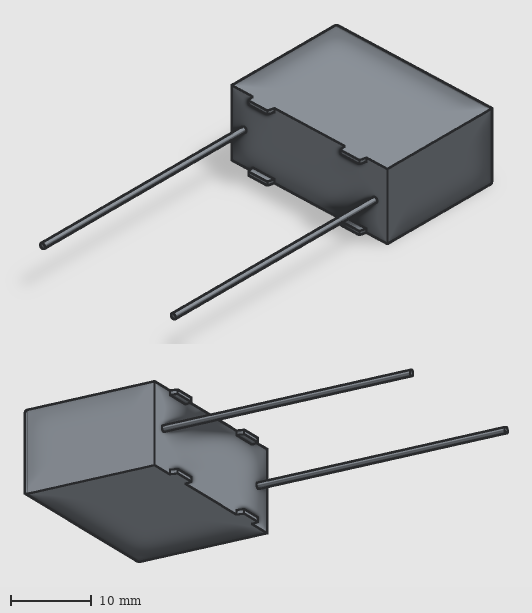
import cadquery as cq

total_length = 55.1
housing_width = 26.8
housing_height = 11.2
housing_depth = 19.2
back_edge_radius = 0.75

tab_root_width = 3.75
tab_tip_width = 3.25
tab_length = 1.0
tab_thickness = 0.6
tab_spacing = 15.8

lead_diameter = 0.8
lead_spacing = 22.5
lead_length = total_length - housing_depth


def make_tab(center_x, bottom_z):
    """Tapered standoff tab that projects from the lead face (Y = 0) toward -Y."""
    half_root = tab_root_width / 2
    half_tip = tab_tip_width / 2
    outline = [
        (center_x - half_root, 0),
        (center_x + half_root, 0),
        (center_x + half_tip, -tab_length),
        (center_x - half_tip, -tab_length),
    ]
    return cq.Workplane("XY").workplane(offset=bottom_z).polyline(outline).close().extrude(tab_thickness)


def make_housing():
    """Box with rounded back edges and four tabs flush with its top and bottom."""
    body = (
        cq.Workplane("XY")
        .box(housing_width, housing_depth, housing_height, centered=(True, False, True))
        .faces(">Y")
        .edges()
        .fillet(back_edge_radius)
    )
    lower_tab_z = -housing_height / 2
    upper_tab_z = housing_height / 2 - tab_thickness
    for center_x in (-tab_spacing / 2, tab_spacing / 2):
        for bottom_z in (lower_tab_z, upper_tab_z):
            body = body.union(make_tab(center_x, bottom_z))
    return body


def make_lead(center_x):
    """Straight round wire that starts on the lead face and runs toward -Y."""
    return cq.Workplane("XZ").center(center_x, 0).circle(lead_diameter / 2).extrude(lead_length)


housing = make_housing()
leads = [make_lead(center_x) for center_x in (-lead_spacing / 2, lead_spacing / 2)]

result = cq.Compound.makeCompound([housing.val(), *[lead.val() for lead in leads]])